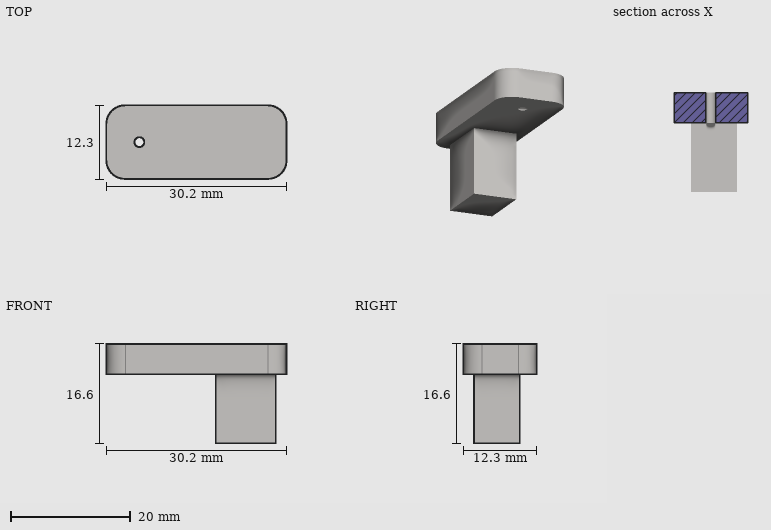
import cadquery as cq

plate_length = 30.2
plate_width = 12.35
plate_thickness = 5.1
corner_radius = 3.15

overall_height = 16.64
post_length = 10.1
post_width = 7.7
post_end_inset = 1.8
post_side_inset = 1.8
post_height = overall_height - plate_thickness

hole_diameter = 1.61
hole_end_distance = 5.55


def make_plate():
    """Plate with its underside at Z = 0 and rounded vertical corners."""
    blank = cq.Workplane("XY").box(
        plate_length, plate_width, plate_thickness, centered=(True, True, False)
    )
    return blank.edges("|Z").fillet(corner_radius)


def make_post():
    """Post running down from the underside of the plate."""
    center_x = plate_length / 2 - post_end_inset - post_length / 2
    center_y = -plate_width / 2 + post_side_inset + post_width / 2
    return (
        cq.Workplane("XY")
        .center(center_x, center_y)
        .rect(post_length, post_width)
        .extrude(-post_height)
    )


def make_hole():
    """Cutter for the hole, as deep as the plate is thick."""
    return (
        cq.Workplane("XY")
        .center(-plate_length / 2 + hole_end_distance, 0)
        .circle(hole_diameter / 2)
        .extrude(plate_thickness)
    )


result = make_plate().union(make_post()).cut(make_hole())